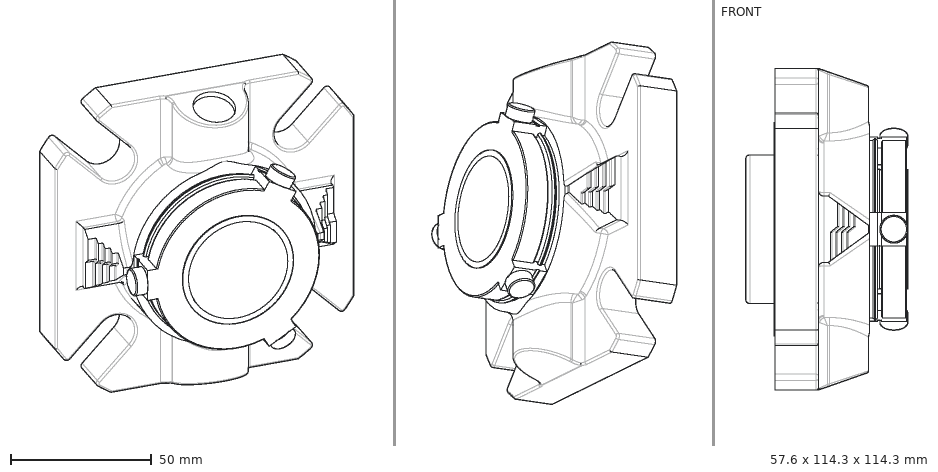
import cadquery as cq
import math

TOTAL_LENGTH = 57.6
RELIEF_X = 10.1
FLANGE_FRONT = 10.4
FLANGE_BACK = 25.8
HOUSING_END = 44.0
NECK_END = 46.9
COLLAR_START = 48.2
COLLAR_END = 57.2

TOLERANCE = 0.02

OVERSIZE_D = 457.2
FLANGE_SIDE = 114.3
CORNER_CIRCLE_D = 134.9
FLANGE_EDGE_FILLET = 0.8
RELIEF_D = 76.0
SLOT_WIDTH = 15.0
SLOT_CENTRE_R = 48.2
SLOT_TIP_FILLET = 1.5
SLOT_ANGLES = (45, 135, 225, 315)
RIM_MIN_R = 51.4

BORE_D = 38.0
SLEEVE_D = 42.4
SEAT_D = 42.6
SEAT_END = 47.5
HUB_D = 52.9
HUB_FILLET = 1.5

HOUSING_D = 70.2
BLEND_R = 2.0

BOSS_TIP_X = 43.7
NOSE_R = 14.0
NOSE_BLEND_R = 3.2
SLOPE_ANGLE = 19.3
SLOPE_EDGE_FILLET = 0.8
RECESS_D = 15.2
RECESS_X = 34.6
RECESS_DEPTH = 2.3

WEDGE_HALF_WIDTH = 11.8
WEDGE_TIP_HALF_WIDTH = 1.4
WEDGE_SHOULDER_X = 29.4
STEP_START_X = 32.7
STEP_PITCH_X = 2.0
STEP_RADII = (47.4, 44.3, 42.5, 40.6, 38.3)
STEP_JOG = 2.5
STEP_FILLET = 0.5
JOG_HALF_WIDTH = 1.0

COLLAR_D = 63.0
COLLAR_CHAMFER = 0.5
RIDGE_D = 64.5
RIDGE_START = 45.1
RIDGE_CHAMFER = 0.7
SCREW_ANGLES = (-30, 90, 210)
PAD_WIDTH = 11.9
PAD_R = 34.4
BRIDGE_INNER_R = 29.8
BRIDGE_OUTER_R = 34.0
SCREW_D = 10.0
SCREW_X = TOTAL_LENGTH - SCREW_D / 2
SCREW_R = 38.9
SCREW_CHAMFER = 0.5


def disc(diameter, start, end):
    """Cylinder on the X axis between two stations."""
    return cq.Workplane("YZ", origin=(start, 0, 0)).circle(diameter / 2).extrude(end - start)


def box(x_range, y_range, z_range):
    """Axis-aligned block given by its limits."""
    size = [high - low for low, high in (x_range, y_range, z_range)]
    corner = (x_range[0], y_range[0], z_range[0])
    return cq.Workplane("XY").box(*size, centered=False).translate(corner)


def about_x(shape, angle):
    """Turn a body about the shaft axis."""
    return shape.rotate((0, 0, 0), (1, 0, 0), angle)


def outline_prism():
    """Square with its corners rounded to a common circle, long enough for flange and housing."""
    square = cq.Workplane("YZ", origin=(FLANGE_FRONT, 0, 0)).rect(FLANGE_SIDE, FLANGE_SIDE)
    prism = square.extrude(HOUSING_END - FLANGE_FRONT)
    return prism.intersect(disc(CORNER_CIRCLE_D, FLANGE_FRONT, HOUSING_END))


def slots():
    """Four open bolt slots on the diagonals, as cutting bodies."""
    outer_r = CORNER_CIRCLE_D / 2 + SLOT_WIDTH
    straight = box((0, TOTAL_LENGTH), (SLOT_CENTRE_R, outer_r), (-SLOT_WIDTH / 2, SLOT_WIDTH / 2))
    slot = straight.union(disc(SLOT_WIDTH, 0, TOTAL_LENGTH).translate((0, SLOT_CENTRE_R, 0)))
    cutters = cq.Workplane()
    for angle in SLOT_ANGLES:
        cutters = cutters.add(about_x(slot, angle))
    return cutters.combine()


def slope_height(x):
    """Height of the sloping boss face at station x."""
    return FLANGE_SIDE / 2 - (x - FLANGE_BACK) * math.tan(math.radians(SLOPE_ANGLE))


def nose_boss():
    """Round-nosed upright prism towards +Z, not yet cut to its slope."""
    nose_x = BOSS_TIP_X - NOSE_R
    outline = (cq.Workplane("XY").moveTo(0, -NOSE_R).lineTo(nose_x, -NOSE_R)
               .threePointArc((BOSS_TIP_X, 0), (nose_x, NOSE_R)).lineTo(0, NOSE_R).close())
    return outline.extrude(FLANGE_SIDE)


def slope_cutter():
    """Everything above the sloping face of the +Z boss."""
    side = [(FLANGE_BACK, FLANGE_SIDE / 2), (TOTAL_LENGTH, slope_height(TOTAL_LENGTH)),
            (TOTAL_LENGTH, 2 * FLANGE_SIDE), (FLANGE_BACK, 2 * FLANGE_SIDE)]
    return cq.Workplane("XZ").polyline(side).close().extrude(FLANGE_SIDE, both=True)


def slope_edges(body):
    """Curved outer edges of the two sloping faces; the straight runs follow by tangency."""
    edges = []
    for edge in body.edges().vals():
        middle = edge.positionAt(0.5)
        on_slope = all(abs(abs(point.z) - slope_height(point.x)) < TOLERANCE
                       for point in (edge.startPoint(), middle, edge.endPoint()))
        if on_slope and middle.x > BOSS_TIP_X - NOSE_R:
            edges.append(edge)
    return edges


def recess():
    """Round recess sunk square to the sloping face of the +Z boss."""
    tilt = math.radians(SLOPE_ANGLE)
    face = cq.Plane(origin=(RECESS_X, 0, slope_height(RECESS_X)), xDir=(0, 1, 0),
                    normal=(math.sin(tilt), 0, math.cos(tilt)))
    return cq.Workplane(face).circle(RECESS_D / 2).extrude(RECESS_DEPTH, both=True)


def wedge():
    """Triangular prism reaching from the axis out to its full height at -Y."""
    half, tip = WEDGE_HALF_WIDTH, WEDGE_TIP_HALF_WIDTH
    outline = [(0, -half), (WEDGE_SHOULDER_X, -half), (BOSS_TIP_X, -tip),
               (BOSS_TIP_X, tip), (WEDGE_SHOULDER_X, half), (0, half)]
    return cq.Workplane("XZ").polyline(outline).close().extrude(STEP_RADII[0])


def step_cutter(step):
    """Material beyond one step of the -Y wedge; the step edge jogs across the middle."""
    upper_x = STEP_START_X + step * STEP_PITCH_X
    lower_x = upper_x - STEP_JOG
    half = 2 * WEDGE_HALF_WIDTH
    outline = [(TOTAL_LENGTH, -half), (lower_x, -half), (lower_x, -JOG_HALF_WIDTH),
               (upper_x, JOG_HALF_WIDTH), (upper_x, half), (TOTAL_LENGTH, half)]
    floor = cq.Workplane("XZ", origin=(0, -STEP_RADII[step + 1], 0))
    cutter = floor.polyline(outline).close().extrude(FLANGE_SIDE)
    return cutter.faces(">Y").edges().fillet(STEP_FILLET)


def lies_on_flange_back(edge):
    """Whether an edge lies wholly in the plane of the flange back."""
    limits = edge.BoundingBox()
    return abs(limits.xmin - FLANGE_BACK) < TOLERANCE and abs(limits.xmax - FLANGE_BACK) < TOLERANCE


def foot_edges(body, y_min, y_max):
    """Edges within a band of |Y| where the housing and bosses meet each other and the flange."""
    feet = []
    for edge in body.edges().vals():
        limits = edge.BoundingBox()
        reach = max(abs(limits.ymin), abs(limits.ymax), abs(limits.zmin), abs(limits.zmax))
        behind_flange = limits.xmin > FLANGE_BACK - TOLERANCE and limits.xmax < HOUSING_END
        on_housing = behind_flange and reach < HOUSING_D / 2 + TOLERANCE
        on_flange = lies_on_flange_back(edge) and reach < OVERSIZE_D / 2 - TOLERANCE
        if (on_housing or on_flange) and y_min < abs(edge.Center().y) < y_max:
            feet.append(edge)
    return feet


def blended_bosses():
    """Round housing and four bosses, blended into each other and into an oversized flange."""
    body = disc(OVERSIZE_D, 0, FLANGE_BACK).union(disc(HOUSING_D, 0, TOTAL_LENGTH))
    for angle in (0, 180):
        body = body.union(about_x(nose_boss(), angle))
    body = body.newObject(foot_edges(body, -TOLERANCE, NOSE_R + TOLERANCE)).fillet(NOSE_BLEND_R)
    for angle in (0, 180):
        body = body.union(about_x(wedge(), angle))
    beyond_noses = NOSE_R + NOSE_BLEND_R + TOLERANCE
    return body.newObject(foot_edges(body, beyond_noses, FLANGE_SIDE)).fillet(BLEND_R)


def round_tips(body):
    """Round the sharp tips left beside the slot mouths."""
    tip_r = CORNER_CIRCLE_D / 2 - TOLERANCE
    tips = []
    for edge in body.edges("|X").vals():
        centre = edge.Center()
        beside_slot = abs(abs(centre.y) - abs(centre.z)) < SLOT_WIDTH
        if beside_slot and math.hypot(centre.y, centre.z) > tip_r:
            tips.append(edge)
    return body.newObject(tips).fillet(SLOT_TIP_FILLET)


def rim_edges(body):
    """Outer edges of the flange back."""
    rim = []
    for edge in body.edges().vals():
        centre = edge.Center()
        if lies_on_flange_back(edge) and math.hypot(centre.y, centre.z) > RIM_MIN_R:
            rim.append(edge)
    return rim


def housing():
    """Flange, round housing and bosses as one casting."""
    body = round_tips(blended_bosses().intersect(outline_prism()).cut(slots()))
    body = body.newObject(rim_edges(body)).fillet(FLANGE_EDGE_FILLET)
    for angle in (0, 180):
        body = body.cut(about_x(slope_cutter(), angle))
    body = body.newObject(slope_edges(body)).fillet(SLOPE_EDGE_FILLET)
    for angle in (0, 180):
        for step in range(len(STEP_RADII) - 1):
            body = body.cut(about_x(step_cutter(step), angle))
    return body.cut(recess())


def clamp_pad():
    """Flat-topped block and round screw head, pointing to +Z."""
    half = PAD_WIDTH / 2
    pad = box((HOUSING_END, COLLAR_END), (-half, half), (BRIDGE_INNER_R, PAD_R))
    gap = box((NECK_END, COLLAR_START), (-half, half), (BRIDGE_OUTER_R, PAD_R))
    head = cq.Workplane("XY", origin=(SCREW_X, 0, PAD_R)).circle(SCREW_D / 2)
    head = head.extrude(SCREW_R - PAD_R).faces(">Z").chamfer(SCREW_CHAMFER)
    return pad.cut(gap).union(head)


def collar():
    """Neck with its seal ridge, locking collar and clamping screws."""
    ring = disc(COLLAR_D, COLLAR_START, COLLAR_END).edges().chamfer(COLLAR_CHAMFER)
    ridge = disc(RIDGE_D, RIDGE_START, NECK_END).edges().chamfer(RIDGE_CHAMFER)
    body = disc(COLLAR_D, HOUSING_END, NECK_END).union(ridge).union(ring)
    for angle in SCREW_ANGLES:
        body = body.union(about_x(clamp_pad(), angle))
    return body


def sleeve():
    """Hub in front of the flange and the thinner sleeve that runs on through the collar."""
    hub = disc(HUB_D, 0, FLANGE_BACK).faces("<X").edges().fillet(HUB_FILLET)
    seat = disc(SEAT_D, FLANGE_BACK, SEAT_END)
    return hub.union(seat).union(disc(SLEEVE_D, FLANGE_BACK, TOTAL_LENGTH))


result = (
    housing()
    .union(disc(RELIEF_D, RELIEF_X, FLANGE_BACK))
    .union(collar())
    .union(sleeve())
    .cut(disc(BORE_D, 0, TOTAL_LENGTH))
)